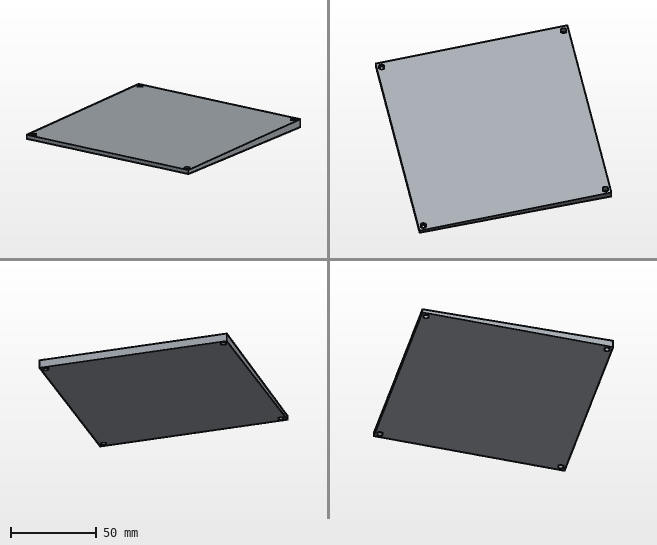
import cadquery as cq

side = 115.5
thick_edge = 5.0
thin_edge = 2.5
hole_diameter = 3.2
hole_inset = 3.0

hole_spacing = side - 2 * hole_inset

plate = (
    cq.Workplane("YZ")
    .polyline([
        (-side / 2, 0),
        (side / 2, 0),
        (side / 2, -thick_edge),
        (-side / 2, -thin_edge),
    ])
    .close()
    .extrude(side / 2, both=True)
)

corner_holes = (
    cq.Workplane("XY")
    .rect(hole_spacing, hole_spacing, forConstruction=True)
    .vertices()
    .circle(hole_diameter / 2)
    .extrude(-thick_edge)
)

result = plate.cut(corner_holes)